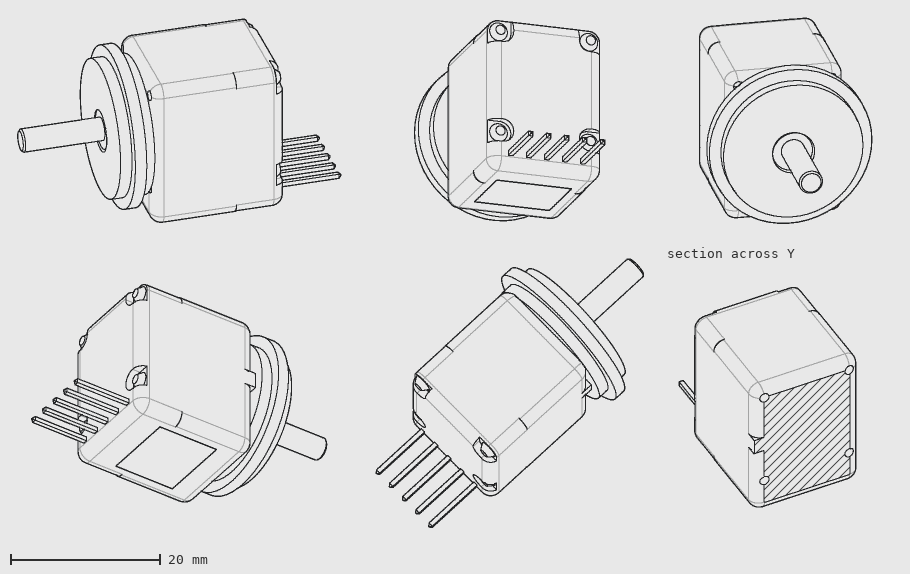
import cadquery as cq
import math


OVERALL_LENGTH = 43.03
OVERALL_HEIGHT = 22.82

FLANGE_DIAMETER = 22.225
PILOT_DIAMETER = 19.05
DISC_THICKNESS = 1.5875
FLANGE_THICKNESS = 3 * DISC_THICKNESS
FLANGE_FRONT = -FLANGE_THICKNESS

RECESS_RIM_DIAMETER = 5.75
RECESS_RIM_CENTER = (0.06, -0.27)
RECESS_FLOOR_DIAMETER = 5.45
RECESS_FLOOR_CENTER = (-0.06, -0.1)
RECESS_DEPTH = 0.15

SHAFT_DIAMETER = 3.175
SHAFT_LENGTH = 11.1125
SHAFT_CHAMFER = 0.25

HOUSING_WIDTH = 15.9
HOUSING_TOP = PILOT_DIAMETER / 2
HOUSING_BOTTOM = -11.65
HOUSING_HEIGHT = HOUSING_TOP - HOUSING_BOTTOM
HOUSING_MID_Z = (HOUSING_TOP + HOUSING_BOTTOM) / 2
HOUSING_GAP = 0.13
HOUSING_REAR = 18.6
CAP_LENGTH = 6.79
CAP_FRONT = HOUSING_REAR - CAP_LENGTH
CAP_RADIUS = 1.5875
SHELL_SIDE_RADIUS = 1.43
SHELL_FRONT_RADIUS = 1.5875

TAB_HEIGHT = 2.34
TAB_THICKNESS = SHELL_FRONT_RADIUS

PAD_WIDTH = 10.56
PAD_LENGTH = 9.08
PAD_CENTER_Y = 9.02
PAD_BOTTOM = FLANGE_DIAMETER / 2 - OVERALL_HEIGHT

SCREW_X = 6.37
SCREW_Z_TOP = 7.9
SCREW_Z_BOTTOM = -6.37
POCKET_DIAMETER = 3.175
POCKET_DEPTH = 1.2
POCKET_FLOOR = HOUSING_REAR - POCKET_DEPTH
POCKET_SHIFT = 0.15
POCKET_RUN = POCKET_DIAMETER
HEAD_BASE_DIAMETER = 2.5
HEAD_TOP_DIAMETER = 1.3
HEAD_HEIGHT = 0.85
SCREW_HOLE_DIAMETER = 1.3
SCREW_HOLE_DEPTH = 1.5

PIN_COUNT = 5
PIN_PITCH = 2.54
PIN_SIZE = 0.64
PIN_Z = -9.55
PIN_TIP_Y = OVERALL_LENGTH - FLANGE_THICKNESS - SHAFT_LENGTH
PIN_POINT_LENGTH = 0.3
PIN_POINT_SIZE = 0.15
PIN_EMBED = 1.0


def front_plane(y):
    """Plane across the shaft axis whose extrusions run toward -Y; its local Y is the part's +Z."""
    return cq.Workplane("XZ", origin=(0, y, 0))


def rear_plane(y, x=0, z=0):
    """Plane across the shaft axis whose extrusions run toward +Y; its local Y is the part's -Z."""
    return cq.Workplane(cq.Plane(origin=(x, y, z), xDir=(1, 0, 0), normal=(0, 1, 0)))


def make_flange():
    flange = front_plane(0).circle(PILOT_DIAMETER / 2).extrude(FLANGE_THICKNESS)
    rim = front_plane(-DISC_THICKNESS).circle(FLANGE_DIAMETER / 2).extrude(DISC_THICKNESS)
    floor_x, floor_z = RECESS_FLOOR_CENTER
    rim_x, rim_z = RECESS_RIM_CENTER
    recess = (
        front_plane(FLANGE_FRONT + RECESS_DEPTH)
        .center(floor_x, floor_z)
        .circle(RECESS_FLOOR_DIAMETER / 2)
        .workplane(offset=RECESS_DEPTH)
        .center(rim_x - floor_x, rim_z - floor_z)
        .circle(RECESS_RIM_DIAMETER / 2)
        .loft(ruled=True)
    )
    return flange.union(rim).cut(recess)


def make_shaft():
    shaft = front_plane(0).circle(SHAFT_DIAMETER / 2).extrude(FLANGE_THICKNESS + SHAFT_LENGTH)
    return shaft.faces("<Y").chamfer(SHAFT_CHAMFER)


def housing_block(front, rear):
    block = rear_plane(front, z=HOUSING_MID_Z).rect(HOUSING_WIDTH, HOUSING_HEIGHT)
    return block.extrude(rear - front)


def make_housing():
    shell = housing_block(HOUSING_GAP, CAP_FRONT)
    shell = shell.edges("|Y").fillet(SHELL_SIDE_RADIUS)
    shell = shell.faces("<Y").edges().fillet(SHELL_FRONT_RADIUS)
    cap = housing_block(CAP_FRONT, HOUSING_REAR)
    cap = cap.edges("|Y or >Y").fillet(CAP_RADIUS)
    return shell.union(cap)


def make_tab():
    """Fills the front rounding of the side wall, out to the flange."""
    length = HOUSING_GAP + SHELL_FRONT_RADIUS
    tab = cq.Workplane("XY").box(TAB_THICKNESS, length, TAB_HEIGHT, centered=(False, False, True))
    return tab.translate((-HOUSING_WIDTH / 2, 0, 0))


def make_pad():
    pad = cq.Workplane("XY", origin=(0, PAD_CENTER_Y, PAD_BOTTOM)).rect(PAD_WIDTH, PAD_LENGTH)
    return pad.extrude(HOUSING_BOTTOM - PAD_BOTTOM)


def make_slot(x, z, run_x, run_z):
    """Rear slot with a round end at (x, z), running straight by run_x or run_z past the housing wall."""
    end = rear_plane(POCKET_FLOOR, x, z).circle(POCKET_DIAMETER / 2)
    size_x = abs(run_x) or POCKET_DIAMETER
    size_z = abs(run_z) or POCKET_DIAMETER
    run = rear_plane(POCKET_FLOOR, x + run_x / 2, z + run_z / 2).rect(size_x, size_z)
    return end.extrude(POCKET_DEPTH).union(run.extrude(POCKET_DEPTH))


def make_screw_pocket(x, z):
    """Pocket open to the nearer side wall; at an upper screw it also opens to the top."""
    side = math.copysign(1, x)
    is_upper = z > 0
    pocket_x = x - side * POCKET_SHIFT
    pocket_z = z - POCKET_SHIFT if is_upper else z
    pocket = make_slot(pocket_x, pocket_z, side * POCKET_RUN, 0)
    if is_upper:
        pocket = pocket.union(make_slot(pocket_x, pocket_z, 0, POCKET_RUN))
    return pocket


def add_screw(body, x, z):
    """Cuts a screw pocket in the rear, leaves a tapered head in it, and opens the front hole."""
    head = (
        rear_plane(POCKET_FLOOR, x, z)
        .circle(HEAD_BASE_DIAMETER / 2)
        .workplane(offset=HEAD_HEIGHT)
        .circle(HEAD_TOP_DIAMETER / 2)
        .loft()
    )
    hole = rear_plane(HOUSING_GAP, x, z).circle(SCREW_HOLE_DIAMETER / 2).extrude(SCREW_HOLE_DEPTH)
    return body.cut(make_screw_pocket(x, z)).union(head).cut(hole)


def make_pin(x):
    shoulder = PIN_TIP_Y - PIN_POINT_LENGTH
    start = HOUSING_REAR - PIN_EMBED
    pin = rear_plane(start, x, PIN_Z).rect(PIN_SIZE, PIN_SIZE).extrude(shoulder - start)
    point = (
        rear_plane(shoulder, x, PIN_Z)
        .rect(PIN_SIZE, PIN_SIZE)
        .workplane(offset=PIN_POINT_LENGTH)
        .rect(PIN_POINT_SIZE, PIN_POINT_SIZE)
        .loft(ruled=True)
    )
    return pin.union(point)


def make_gearmotor():
    body = make_housing()
    for x in (-SCREW_X, SCREW_X):
        for z in (SCREW_Z_BOTTOM, SCREW_Z_TOP):
            body = add_screw(body, x, z)
    for index in range(PIN_COUNT):
        body = body.union(make_pin((index - (PIN_COUNT - 1) / 2) * PIN_PITCH))
    for piece in (make_pad(), make_tab(), make_flange(), make_shaft()):
        body = body.union(piece)
    return body


result = make_gearmotor()